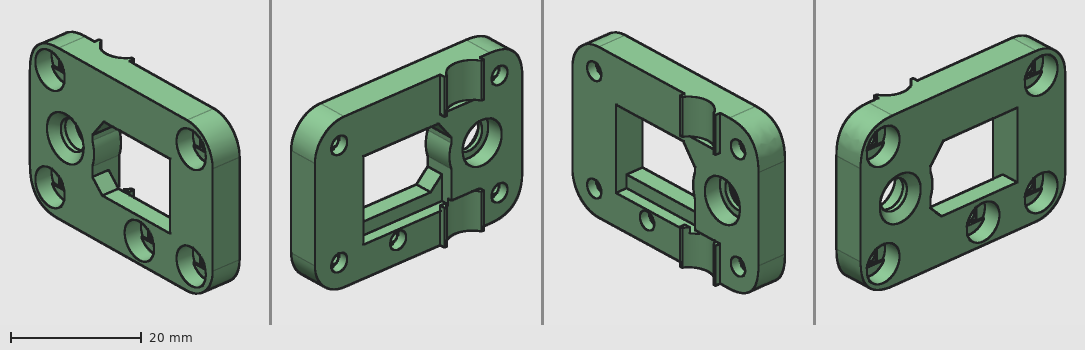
import cadquery as cq
import math

plate_width = 42.51
plate_height = 29.99
plate_thickness = 5.5
left = -plate_width / 2
right = plate_width / 2
bottom = -plate_height / 2
top = plate_height / 2

right_corner_radius = 6.0
left_corner_run_x = 6.66
left_corner_run_z = 6.8

counterbore_diameter = 6.8
counterbore_depth = 3.0
mount_hole_diameter = 3.25
floor_step_width = 3.4
floor_step_depth = 0.3
left_hole_x = left + 4.7
right_hole_x = right - 5.0
corner_hole_spacing_z = 20.6
lower_hole_x = left + 25.45
lower_hole_z = bottom + 4.1

screw_x = left + 8.25
screw_z = -0.18
screw_hole_diameter = 5.5
countersink_diameter = 8.5
countersink_depth = 1.5
screw_relief_diameter = 8.0
screw_relief_start = 2.4

window_left = left + 14.55
window_right = left + 32.55
window_bottom = bottom + 8.4
window_top = bottom + 21.5
upper_clip_x = 2.65
upper_clip_z = 3.45
lower_clip = 2.3
screw_wall_radius = 6.7

window_lip_thickness = 3.3
window_relief_drop = 2.4

pad_x = left + 12.8
pad_width = 8.1
pad_length = 7.0
pad_height = 0.95
groove_radius = 4.0
groove_axis_offset = 2.85


def on_plane(y):
    """Workplane at depth y whose local axes are X and Z and which extrudes toward +Y."""
    return cq.Workplane(cq.Plane(origin=(0, y, 0), xDir=(1, 0, 0), normal=(0, -1, 0)))


def cylinder(x, z, diameter, y_start, length):
    return on_plane(y_start).center(x, z).circle(diameter / 2).extrude(-length)


def block(x, z, width, height, y_start, length):
    return on_plane(y_start).center(x, z).rect(width, height).extrude(-length)


def make_plate():
    arc_inset = right_corner_radius * (1 - math.cos(math.pi / 4))
    outline = (
        on_plane(0)
        .moveTo(left + left_corner_run_x, bottom)
        .lineTo(right - right_corner_radius, bottom)
        .threePointArc((right - arc_inset, bottom + arc_inset), (right, bottom + right_corner_radius))
        .lineTo(right, top - right_corner_radius)
        .threePointArc((right - arc_inset, top - arc_inset), (right - right_corner_radius, top))
        .lineTo(left + left_corner_run_x, top)
        .bezier([(left + left_corner_run_x, top), (left, top), (left, top - left_corner_run_z)])
        .lineTo(left, bottom + left_corner_run_z)
        .bezier([(left, bottom + left_corner_run_z), (left, bottom), (left + left_corner_run_x, bottom)])
        .close()
    )
    return outline.extrude(-plate_thickness)


def make_pads():
    pad_z = top - pad_length / 2
    pads = cq.Workplane()
    for z in (-pad_z, pad_z):
        pads = pads.add(block(pad_x, z, pad_width, pad_length, 0, plate_thickness + pad_height))
    return pads.combine()


def make_groove(z_start):
    axis_start = (pad_x, plate_thickness + groove_axis_offset, z_start)
    return cq.Workplane("XY", origin=axis_start).circle(groove_radius).extrude(pad_length)


def make_window():
    window = (
        on_plane(0)
        .moveTo(window_left + lower_clip, window_bottom)
        .lineTo(window_right, window_bottom)
        .lineTo(window_right, window_top)
        .lineTo(window_left + upper_clip_x, window_top)
        .lineTo(window_left, window_top - upper_clip_z)
        .lineTo(window_left, window_bottom + lower_clip)
        .close()
        .extrude(-plate_thickness)
    )
    return window.cut(cylinder(screw_x, screw_z, 2 * screw_wall_radius, 0, plate_thickness))


def make_window_relief():
    height = window_relief_drop + lower_clip
    return block(
        (window_left + window_right) / 2,
        window_bottom - window_relief_drop + height / 2,
        window_right - window_left,
        height,
        window_lip_thickness,
        plate_thickness - window_lip_thickness,
    )


def make_screw_hole():
    hole = cylinder(screw_x, screw_z, screw_hole_diameter, 0, plate_thickness)
    countersink = cq.Solid.makeCone(
        countersink_diameter / 2,
        screw_hole_diameter / 2,
        countersink_depth,
        pnt=cq.Vector(screw_x, 0, screw_z),
        dir=cq.Vector(0, 1, 0),
    )
    relief_length = plate_thickness - screw_relief_start
    relief = cylinder(screw_x, screw_z, screw_relief_diameter, screw_relief_start, relief_length)
    return hole.union(cq.Workplane(countersink)).union(relief)


def make_mount_hole(x, z):
    counterbore = cylinder(x, z, counterbore_diameter, 0, counterbore_depth)
    slot = block(x, z, counterbore_diameter, floor_step_width, counterbore_depth, floor_step_depth)
    slot = slot.intersect(cylinder(x, z, counterbore_diameter, 0, plate_thickness))
    square = block(x, z, floor_step_width, floor_step_width, counterbore_depth, 2 * floor_step_depth)
    hole = cylinder(x, z, mount_hole_diameter, 0, plate_thickness)
    return counterbore.union(slot).union(square).union(hole)


corner_hole_z = corner_hole_spacing_z / 2
mount_hole_positions = [(x, z) for x in (left_hole_x, right_hole_x) for z in (-corner_hole_z, corner_hole_z)]
mount_hole_positions.append((lower_hole_x, lower_hole_z))

result = make_plate().union(make_pads())
for groove_start in (bottom, top - pad_length):
    result = result.cut(make_groove(groove_start))
result = result.cut(make_window()).cut(make_window_relief()).cut(make_screw_hole())
for hole_x, hole_z in mount_hole_positions:
    result = result.cut(make_mount_hole(hole_x, hole_z))